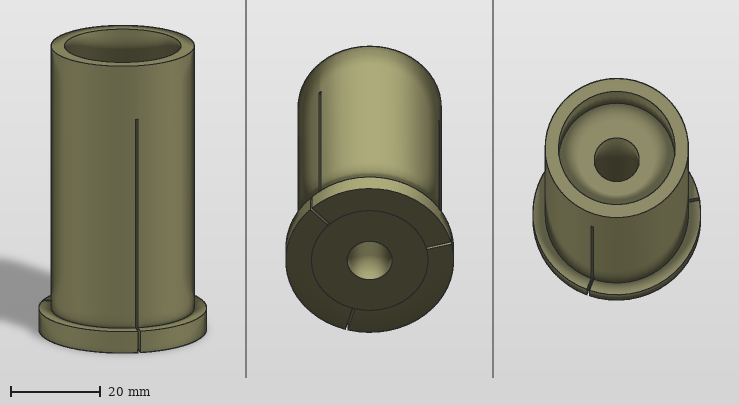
import cadquery as cq

HEIGHT = 66.0
FLANGE_DIAMETER = 37.5
FLANGE_THICKNESS = 5.0
TUBE_DIAMETER = 32.0
BORE_DIAMETER = 26.0

SLIT_COUNT = 3
SLIT_WIDTH = 0.6
SLIT_TOP_Z = 53.5
FIRST_SLIT_ANGLE = 90.0

RECESS_DEPTH = 11.0
CORE_HOLE_DIAMETER = 10.0
CORE_HEIGHT = HEIGHT - RECESS_DEPTH


def make_slit(angle):
    """Radial blade from the axis outwards, open at the bottom of the flange."""
    blade_length = FLANGE_DIAMETER
    blade = cq.Workplane("XY").box(blade_length, SLIT_WIDTH, SLIT_TOP_Z, centered=(False, True, False))
    return blade.rotate((0, 0, 0), (0, 0, 1), angle)


def make_sleeve():
    """Flanged tube with a through bore and evenly spaced slits."""
    flange = cq.Workplane("XY").circle(FLANGE_DIAMETER / 2).extrude(FLANGE_THICKNESS)
    tube = cq.Workplane("XY").circle(TUBE_DIAMETER / 2).extrude(HEIGHT)
    bore = cq.Workplane("XY").circle(BORE_DIAMETER / 2).extrude(HEIGHT)
    sleeve = flange.union(tube).cut(bore)
    for index in range(SLIT_COUNT):
        angle = FIRST_SLIT_ANGLE + index * 360 / SLIT_COUNT
        sleeve = sleeve.cut(make_slit(angle))
    return sleeve


def make_core():
    """Round plug with a central through hole, flush with the underside of the flange."""
    return (
        cq.Workplane("XY")
        .circle(BORE_DIAMETER / 2)
        .circle(CORE_HOLE_DIAMETER / 2)
        .extrude(CORE_HEIGHT)
    )


sleeve = make_sleeve()
core = make_core()

result = cq.Compound.makeCompound([sleeve.val(), core.val()])